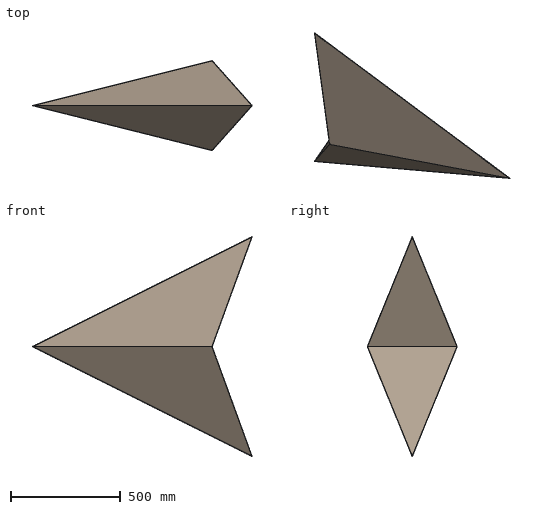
import cadquery as cq

LENGTH = 1000.0
TIP_HEIGHT = 500.0
BASE_LENGTH = 818.0
BASE_WIDTH = 409.0

NOSE = cq.Vector(0, 0, 0)
REAR_FRONT = cq.Vector(BASE_LENGTH, -BASE_WIDTH / 2, 0)
REAR_BACK = cq.Vector(BASE_LENGTH, BASE_WIDTH / 2, 0)


def triangle(*corners):
    """Flat triangular face through three corners."""
    return cq.Face.makeFromWires(cq.Wire.makePolygon(corners, close=True))


def make_wing(side):
    """Tetrahedral wing on the base; side is +1 for the upper wing, -1 for the lower."""
    tip = cq.Vector(LENGTH, 0, side * TIP_HEIGHT)
    faces = [
        triangle(NOSE, REAR_FRONT, REAR_BACK),
        triangle(NOSE, REAR_FRONT, tip),
        triangle(NOSE, REAR_BACK, tip),
        triangle(REAR_FRONT, REAR_BACK, tip),
    ]
    return cq.Solid.makeSolid(cq.Shell.makeShell(faces)).fix()


wings = [make_wing(side) for side in (1, -1)]

result = cq.Compound.makeCompound([*wings])